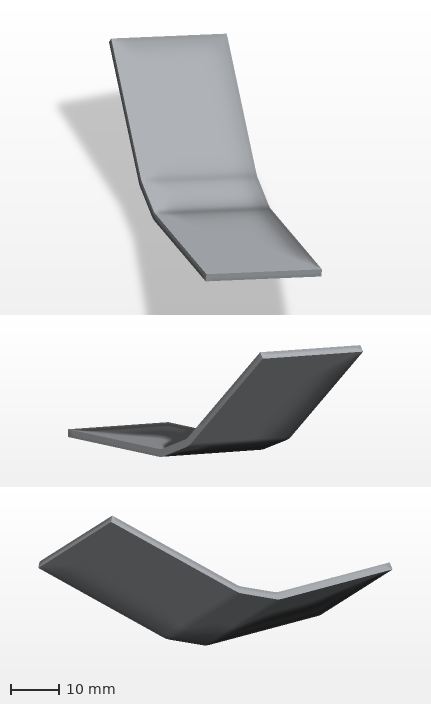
import cadquery as cq
import math

overall_length = 73.4
strip_width = 25.45
thickness = 1.6
flat_length = 8.65
inner_bend_radius = 3.3
bend_angle = 20.0
tilt_angle = 12.0

outer_bend_radius = inner_bend_radius + thickness
half_flat = flat_length / 2
half_length = overall_length / 2
sin_bend = math.sin(math.radians(bend_angle))
cos_bend = math.cos(math.radians(bend_angle))
tan_bend = sin_bend / cos_bend


def bend_point(radius, angle):
    """Point on the right-hand bend, measured from its start at the flat."""
    turn = math.radians(angle)
    x = half_flat + radius * math.sin(turn)
    z = outer_bend_radius - radius * math.cos(turn)
    return x, z


def mirrored(point):
    return -point[0], point[1]


outer_start = bend_point(outer_bend_radius, 0)
outer_middle = bend_point(outer_bend_radius, bend_angle / 2)
outer_end = bend_point(outer_bend_radius, bend_angle)
inner_start = bend_point(inner_bend_radius, 0)
inner_middle = bend_point(inner_bend_radius, bend_angle / 2)
inner_end = bend_point(inner_bend_radius, bend_angle)

outer_tip = (half_length, outer_end[1] + (half_length - outer_end[0]) * tan_bend)
inner_tip = (outer_tip[0] - thickness * sin_bend, outer_tip[1] + thickness * cos_bend)

strip = (
    cq.Workplane("XZ")
    .moveTo(*mirrored(outer_start))
    .lineTo(*outer_start)
    .threePointArc(outer_middle, outer_end)
    .lineTo(*outer_tip)
    .lineTo(*inner_tip)
    .lineTo(*inner_end)
    .threePointArc(inner_middle, inner_start)
    .lineTo(*mirrored(inner_start))
    .threePointArc(mirrored(inner_middle), mirrored(inner_end))
    .lineTo(*mirrored(inner_tip))
    .lineTo(*mirrored(outer_tip))
    .lineTo(*mirrored(outer_end))
    .threePointArc(mirrored(outer_middle), mirrored(outer_start))
    .close()
    .extrude(strip_width / 2, both=True)
)

result = strip.rotate((0, 0, 0), (1, 0, 0), -tilt_angle)